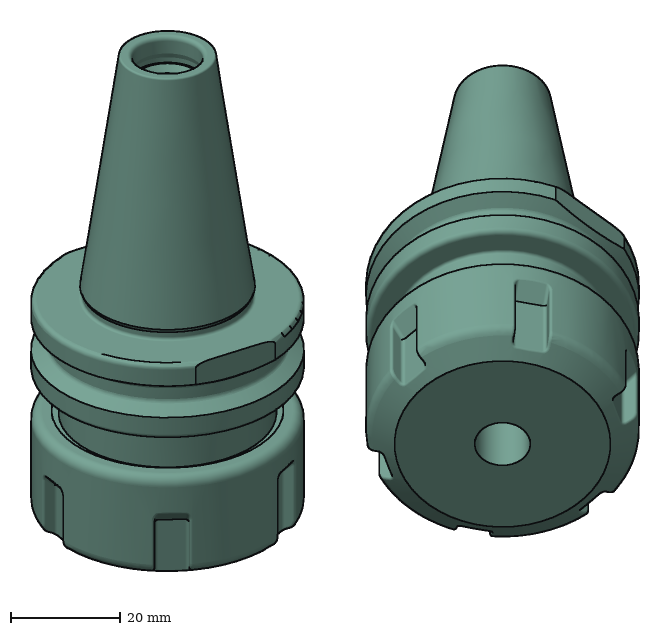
import cadquery as cq
import math

TOTAL_HEIGHT = 97.8
OUTER_DIAMETER = 50.0

TAPER_BASE_Z = 48.9
TAPER_RATIO = 7 / 24
TAPER_TOP_RADIUS = 8.9
TAPER_TOP_ROUND = 0.4
RELIEF_RADIUS = 15.6
RELIEF_TOP_Z = 48.1
RELIEF_ROUND = 0.6

FLANGE_RADIUS = OUTER_DIAMETER / 2
FLANGE_TOP_Z = 46.6
FLANGE_BOTTOM_Z = 30.9
FLANGE_ROUND = 1.0
UPPER_RIM_BOTTOM_Z = 42.2
LOWER_RIM_TOP_Z = 35.5
GROOVE_RADIUS = 22.0
GROOVE_FLANK_ANGLE = 30.0
GROOVE_ROUND = 0.8
FLAT_DISTANCE = 23.5

NECK_RADIUS = 20.0
NECK_ROUND = 0.6

NUT_RADIUS = OUTER_DIAMETER / 2
NUT_TOP_Z = 22.7
NUT_TOP_ROUND = 2.0
NUT_MOUTH_RADIUS = 21.2
NUT_MOUTH_DEPTH = 0.6
NUT_FACE_RADIUS = 19.8
NUT_CONE_ANGLE = 30.0
NUT_SHOULDER_ROUND = 2.25

SLOT_COUNT = 6
FIRST_SLOT_ANGLE = 30
SLOT_WIDTH = 6.4
SLOT_FLOOR_RADIUS = 21.9
SLOT_ROOF_Z = 15.3
TALL_SLOT_ROOF_Z = 17.6
SLOT_ROUND = 0.7
SLOT_RIM_ROUND = 0.5

BORE_RADIUS = 5.1
SEAT_BOTTOM_Z = 91.0
SEAT_ANGLE = 45.0
SEAT_TOP_RADIUS = 6.4
RECESS_RADIUS = 6.7
RECESS_TOP_Z = 93.3
ENTRY_RADIUS = 6.5
ENTRY_BOTTOM_Z = 94.3
ENTRY_ROUND = 0.9


def revolve_profile(points):
    return cq.Workplane("XZ").polyline(points).close().revolve(360, (0, 0), (0, 1))


def matches_circle(radius, z):
    """Test for the circular edge of the given radius and height, centred on the axis."""
    margin = 0.01

    def matches(edge):
        box = edge.BoundingBox()
        flat = abs(box.zmin - z) < margin and abs(box.zmax - z) < margin
        return flat and abs(box.xmax - radius) < margin

    return matches


def round_circle(solid, radius, z, size):
    return solid.edges().filter(matches_circle(radius, z)).fillet(size)


def shank_and_flange():
    """Shank, grooved flange and neck, reaching down into the top of the nut."""
    taper_base_radius = TAPER_TOP_RADIUS + (TOTAL_HEIGHT - TAPER_BASE_Z) * TAPER_RATIO / 2
    flank_rise = (FLANGE_RADIUS - GROOVE_RADIUS) * math.tan(math.radians(GROOVE_FLANK_ANGLE))
    groove_top_z = UPPER_RIM_BOTTOM_Z - flank_rise
    groove_bottom_z = LOWER_RIM_TOP_Z + flank_rise
    neck_bottom_z = NUT_TOP_Z - NUT_TOP_ROUND
    solid = revolve_profile([
        (0, neck_bottom_z),
        (NECK_RADIUS, neck_bottom_z),
        (NECK_RADIUS, FLANGE_BOTTOM_Z),
        (FLANGE_RADIUS, FLANGE_BOTTOM_Z),
        (FLANGE_RADIUS, LOWER_RIM_TOP_Z),
        (GROOVE_RADIUS, groove_bottom_z),
        (GROOVE_RADIUS, groove_top_z),
        (FLANGE_RADIUS, UPPER_RIM_BOTTOM_Z),
        (FLANGE_RADIUS, FLANGE_TOP_Z),
        (RELIEF_RADIUS, FLANGE_TOP_Z),
        (RELIEF_RADIUS, RELIEF_TOP_Z),
        (taper_base_radius, TAPER_BASE_Z),
        (TAPER_TOP_RADIUS, TOTAL_HEIGHT),
        (0, TOTAL_HEIGHT),
    ])
    solid = round_circle(solid, NECK_RADIUS, FLANGE_BOTTOM_Z, NECK_ROUND)
    solid = round_circle(solid, FLANGE_RADIUS, FLANGE_BOTTOM_Z, FLANGE_ROUND)
    solid = round_circle(solid, GROOVE_RADIUS, groove_bottom_z, GROOVE_ROUND)
    solid = round_circle(solid, GROOVE_RADIUS, groove_top_z, GROOVE_ROUND)
    solid = round_circle(solid, FLANGE_RADIUS, FLANGE_TOP_Z, FLANGE_ROUND)
    solid = round_circle(solid, RELIEF_RADIUS, FLANGE_TOP_Z, RELIEF_ROUND)
    return solid.faces(">Z").fillet(TAPER_TOP_ROUND)


def side_flats():
    """Material outside the two flats on the upper rim of the flange."""
    bottom_z = (UPPER_RIM_BOTTOM_Z + LOWER_RIM_TOP_Z) / 2
    height = FLANGE_TOP_Z - bottom_z
    width = 2 * FLANGE_RADIUS
    base = cq.Workplane("XY", origin=(0, 0, bottom_z))
    outside = base.rect(2 * width, width).extrude(height)
    inside = base.rect(2 * FLAT_DISTANCE, width).extrude(height)
    return outside.cut(inside)


def slot_cutter(angle, roof_z):
    """Slot with a 45 degree roof, open through the lower cone of the nut."""
    reach = NUT_RADIUS + SLOT_WIDTH
    return (
        cq.Workplane("XZ")
        .moveTo(SLOT_FLOOR_RADIUS, -SLOT_WIDTH)
        .lineTo(reach, -SLOT_WIDTH)
        .lineTo(reach, roof_z + reach - NUT_RADIUS)
        .lineTo(SLOT_FLOOR_RADIUS, roof_z + SLOT_FLOOR_RADIUS - NUT_RADIUS)
        .close()
        .extrude(SLOT_WIDTH / 2, both=True)
        .edges("(<X and |Z) or (#Y and (not |X) and (not |Z))")
        .fillet(SLOT_ROUND)
        .rotate((0, 0, 0), (0, 0, 1), angle)
    )


def is_slot_rim(edge):
    """True for the upright edges where slot walls meet the side of the nut."""
    middle = edge.Center()
    upright = edge.geomType() == "LINE" and abs(edge.tangentAt(0).z) > 0.99
    mid_depth_radius = (SLOT_FLOOR_RADIUS + NUT_RADIUS) / 2
    below_roof = middle.z < SLOT_ROOF_Z - SLOT_ROUND
    return upright and below_roof and math.hypot(middle.x, middle.y) > mid_depth_radius


def nut():
    shoulder_z = (NUT_RADIUS - NUT_FACE_RADIUS) * math.tan(math.radians(NUT_CONE_ANGLE))
    mouth_z = NUT_TOP_Z - NUT_MOUTH_DEPTH
    solid = revolve_profile([
        (0, 0),
        (NUT_FACE_RADIUS, 0),
        (NUT_RADIUS, shoulder_z),
        (NUT_RADIUS, NUT_TOP_Z),
        (NUT_MOUTH_RADIUS, NUT_TOP_Z),
        (NUT_MOUTH_RADIUS, mouth_z),
        (0, mouth_z),
    ])
    solid = round_circle(solid, NUT_RADIUS, NUT_TOP_Z, NUT_TOP_ROUND)
    solid = round_circle(solid, NUT_RADIUS, shoulder_z, NUT_SHOULDER_ROUND)
    for index in range(SLOT_COUNT):
        angle = FIRST_SLOT_ANGLE + index * 360 / SLOT_COUNT
        roof_z = TALL_SLOT_ROOF_Z if angle < 180 else SLOT_ROOF_Z
        solid = solid.cut(slot_cutter(angle, roof_z))
    return solid.edges().filter(is_slot_rim).fillet(SLOT_RIM_ROUND)


def bore():
    """Through bore with a conical seat, a relief recess and a rounded entry at the shank end."""
    seat_rise = (SEAT_TOP_RADIUS - BORE_RADIUS) * math.tan(math.radians(SEAT_ANGLE))
    seat_top_z = SEAT_BOTTOM_Z + seat_rise
    arc_inset = ENTRY_ROUND * (1 - math.sqrt(0.5))
    return (
        cq.Workplane("XZ")
        .moveTo(0, 0)
        .lineTo(BORE_RADIUS, 0)
        .lineTo(BORE_RADIUS, SEAT_BOTTOM_Z)
        .lineTo(SEAT_TOP_RADIUS, seat_top_z)
        .lineTo(RECESS_RADIUS, seat_top_z)
        .lineTo(RECESS_RADIUS, RECESS_TOP_Z)
        .lineTo(ENTRY_RADIUS, ENTRY_BOTTOM_Z)
        .lineTo(ENTRY_RADIUS, TOTAL_HEIGHT - ENTRY_ROUND)
        .threePointArc(
            (ENTRY_RADIUS + arc_inset, TOTAL_HEIGHT - arc_inset),
            (ENTRY_RADIUS + ENTRY_ROUND, TOTAL_HEIGHT),
        )
        .lineTo(0, TOTAL_HEIGHT)
        .close()
        .revolve(360, (0, 0), (0, 1))
    )


result = shank_and_flange().cut(side_flats()).union(nut()).cut(bore())